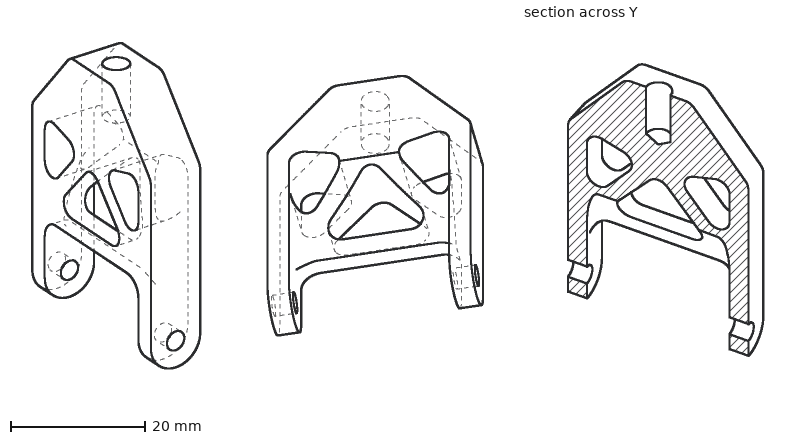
import cadquery as cq
import math

width = 31.0
thickness = 9.0
height = 44.5
top_half_width = 5.55
shoulder_angle = 50.0
shoulder_radius = 2.0

leg_width = 3.3
fork_height = 14.55
fork_radius = 3.0
crossbar_height = 3.0
pivot_diameter = 3.15

window_radius = 2.0
center_window_half_base = 5.25
center_window_rise = 5.9
side_window_width = 3.65
side_window_low_z = 24.3
side_window_mid_z = 28.52
side_window_high_z = 29.55

relief_radius = 33.38
relief_edge_radius = 2.0
relief_axis_y = 30.9
relief_axis_z = 8.0

drill_diameter = 4.2
drill_depth = 8.9
drill_point_angle = 118.0

half_width = width / 2
inner_half_width = half_width - leg_width
end_radius = thickness / 2
shoulder_drop = (half_width - top_half_width) * math.tan(math.radians(shoulder_angle))
shoulder_z = height - shoulder_drop


def make_body():
    """Plate with sloping, rounded shoulders and full-round lower ends."""
    body = (
        cq.Workplane("XZ")
        .polyline([
            (-half_width, 0),
            (half_width, 0),
            (half_width, shoulder_z),
            (top_half_width, height),
            (-top_half_width, height),
            (-half_width, shoulder_z),
        ])
        .close()
        .extrude(end_radius, both=True)
    )
    shoulder_edges = cq.selectors.BoxSelector(
        (-width, -thickness, shoulder_z - 0.45), (width, thickness, height + 0.45)
    )
    body = body.edges("|Y").edges(shoulder_edges).fillet(shoulder_radius)
    side_profile = (
        cq.Workplane("YZ")
        .moveTo(-end_radius, height)
        .lineTo(-end_radius, end_radius)
        .threePointArc((0, 0), (end_radius, end_radius))
        .lineTo(end_radius, height)
        .close()
        .extrude(half_width, both=True)
    )
    return body.intersect(side_profile)


def make_fork_gap():
    """Space between the legs, rounded at its upper corners."""
    return (
        cq.Workplane("XY")
        .box(2 * inner_half_width, thickness, fork_height, centered=(True, True, False))
        .edges("|Y and >Z")
        .fillet(fork_radius)
    )


def make_relief():
    """Round scoop between the legs that thins the web from the back."""
    return (
        cq.Workplane("YZ")
        .center(relief_axis_y, relief_axis_z)
        .circle(relief_radius)
        .extrude(inner_half_width, both=True)
        .edges("%CIRCLE")
        .edges("<X or >X")
        .fillet(relief_edge_radius)
    )


def make_window(centers):
    """Triangular through window around three rounding centers."""
    return (
        cq.Workplane("XZ")
        .polyline(centers)
        .close()
        .offset2D(window_radius, "arc")
        .extrude(thickness, both=True)
    )


def make_pivot_holes():
    """Cross hole through both legs, concentric with their round ends."""
    return (
        cq.Workplane("YZ")
        .center(0, end_radius)
        .circle(pivot_diameter / 2)
        .extrude(half_width, both=True)
    )


def make_drilled_hole():
    """Blind hole with a conical bottom, entering from the top."""
    radius = drill_diameter / 2
    bottom_z = height - drill_depth
    point_length = radius / math.tan(math.radians(drill_point_angle / 2))
    return (
        cq.Workplane("XZ")
        .polyline([
            (0, height),
            (radius, height),
            (radius, bottom_z),
            (0, bottom_z - point_length),
        ])
        .close()
        .revolve(360, (0, 0), (0, 1))
    )


result = make_body().cut(make_fork_gap()).cut(make_relief())
result = result.cut(make_pivot_holes()).cut(make_drilled_hole())

center_window_base_z = fork_height + crossbar_height + window_radius
result = result.cut(make_window([
    (-center_window_half_base, center_window_base_z),
    (center_window_half_base, center_window_base_z),
    (0, center_window_base_z + center_window_rise),
]))

outer_x = inner_half_width - window_radius
inner_x = outer_x - side_window_width
for side in (-1, 1):
    result = result.cut(make_window([
        (side * outer_x, side_window_low_z),
        (side * inner_x, side_window_mid_z),
        (side * outer_x, side_window_high_z),
    ]))